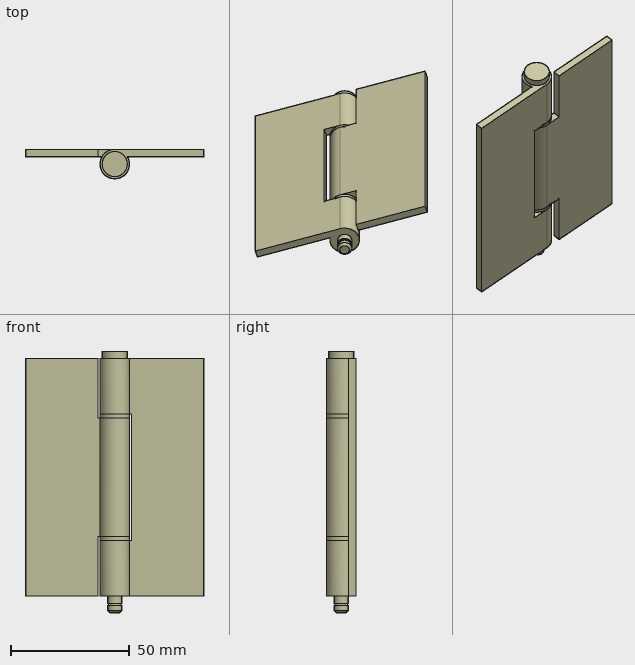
import cadquery as cq

hinge_width = 75.0
leaf_height = 100.0
leaf_thickness = 3.2
barrel_diameter = 12.4
leaf_edge_offset = 7.0
middle_knuckle_height = 49.9
washer_thickness = 1.5

pin_diameter = 6.0
head_diameter = 10.6
head_height = 3.0
tail_length = 7.0
tail_chamfer = 1.0
groove_diameter = 5.4
groove_width = 0.8
groove_offset = 3.1

barrel_radius = barrel_diameter / 2
half_width = hinge_width / 2
leaf_back_y = barrel_radius
leaf_front_y = leaf_back_y - leaf_thickness
middle_bottom = (leaf_height - middle_knuckle_height) / 2
middle_top = middle_bottom + middle_knuckle_height
outer_knuckle_height = middle_bottom - washer_thickness
upper_knuckle_bottom = leaf_height - outer_knuckle_height


def cylinder(diameter, bottom, height):
    """Cylinder on the hinge axis."""
    return cq.Workplane("XY").workplane(offset=bottom).circle(diameter / 2).extrude(height)


def plate(inner_x, outer_x, bottom, height):
    """Flat leaf portion between two X positions, flush with the back of the barrel."""
    return cq.Workplane("XY").box(
        outer_x - inner_x, leaf_thickness, height, centered=False
    ).translate((inner_x, leaf_front_y, bottom))


def make_leaf(side, knuckles):
    """Leaf on one side (-1 left, +1 right) carrying bored knuckles given as (bottom, height)."""
    edges = sorted((side * leaf_edge_offset, side * half_width))
    leaf = plate(edges[0], edges[1], 0, leaf_height)
    web = sorted((0, side * leaf_edge_offset))
    for bottom, height in knuckles:
        leaf = leaf.union(plate(web[0], web[1], bottom, height))
        leaf = leaf.union(cylinder(barrel_diameter, bottom, height))
    return leaf.cut(cylinder(pin_diameter, 0, leaf_height))


def make_washer(bottom):
    """Bearing washer between two neighbouring knuckles."""
    washer = cylinder(barrel_diameter, bottom, washer_thickness)
    return washer.cut(cylinder(pin_diameter, bottom, washer_thickness))


def make_pin():
    """Headed pin with a retaining groove and a chamfered tail."""
    shank = cylinder(pin_diameter, -tail_length, leaf_height + tail_length)
    shank = shank.faces("<Z").chamfer(tail_chamfer)
    groove_bottom = -groove_offset - groove_width
    groove = cylinder(pin_diameter, groove_bottom, groove_width)
    groove = groove.cut(cylinder(groove_diameter, groove_bottom, groove_width))
    return shank.cut(groove).union(cylinder(head_diameter, leaf_height, head_height))


left_leaf = make_leaf(-1, [(middle_bottom, middle_knuckle_height)])
right_leaf = make_leaf(1, [(0, outer_knuckle_height), (upper_knuckle_bottom, outer_knuckle_height)])
washers = [make_washer(bottom).val() for bottom in (outer_knuckle_height, middle_top)]
pin = make_pin()

result = cq.Compound.makeCompound([left_leaf.val(), right_leaf.val(), *washers, pin.val()])